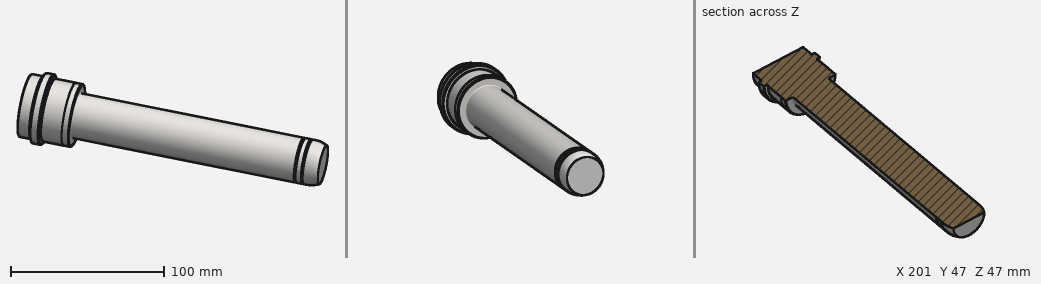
import cadquery as cq

total_length = 201.0
head_radius = 42.0 / 2
collar_radius = 47.0 / 2
shank_radius = 30.0 / 2

face_chamfer = 0.5
collar_start = 9.0
collar_end = 15.0
collar_chamfer = 0.6
head_end = 34.8
head_chamfer = 0.6
shank_root_fillet = 0.6

relief_width = 1.0
relief_depth = 0.5

lead_length = 4.8
lead_radius = head_radius - 0.05

nose_length = 7.2
nose_end_radius = 12.9
groove_starts = (185.3, 190.1)
groove_width = 1.2
groove_depth = 0.2


def nose_arc_radius():
    """Radius of the nose arc, which leaves the shank tangentially."""
    drop = shank_radius - nose_end_radius
    return (nose_length**2 + drop**2) / (2 * drop)


def turned_body():
    """Head, collar, pilot and shank as one revolved half outline."""
    lead_start = head_end - lead_length
    outline = (
        cq.Workplane("XY")
        .lineTo(0, head_radius - face_chamfer)
        .lineTo(face_chamfer, head_radius)
        .lineTo(collar_start - relief_width, head_radius)
        .sagittaArc((collar_start, head_radius), -relief_depth)
        .lineTo(collar_start, collar_radius - collar_chamfer)
        .lineTo(collar_start + collar_chamfer, collar_radius)
        .lineTo(collar_end - collar_chamfer, collar_radius)
        .lineTo(collar_end, collar_radius - collar_chamfer)
        .lineTo(collar_end, head_radius)
        .sagittaArc((collar_end + relief_width, head_radius), -relief_depth)
        .lineTo(lead_start, head_radius)
        .lineTo(lead_start, lead_radius)
        .lineTo(head_end - head_chamfer, lead_radius)
        .lineTo(head_end, lead_radius - head_chamfer)
        .lineTo(head_end, shank_radius + shank_root_fillet)
        .radiusArc((head_end + shank_root_fillet, shank_radius), -shank_root_fillet)
        .lineTo(total_length - nose_length, shank_radius)
        .radiusArc((total_length, nose_end_radius), nose_arc_radius())
        .lineTo(total_length, 0)
        .close()
    )
    return outline.revolve(360, (0, 0, 0), (1, 0, 0))


def ring_groove(start):
    """Ring with a rounded bottom, to be cut from the shank."""
    end = start + groove_width
    clearance_radius = shank_radius + groove_depth
    section = (
        cq.Workplane("XY")
        .moveTo(start, shank_radius)
        .sagittaArc((end, shank_radius), -groove_depth)
        .lineTo(end, clearance_radius)
        .lineTo(start, clearance_radius)
        .close()
    )
    return section.revolve(360, (0, 0, 0), (1, 0, 0))


result = turned_body()
for groove_start in groove_starts:
    result = result.cut(ring_groove(groove_start))